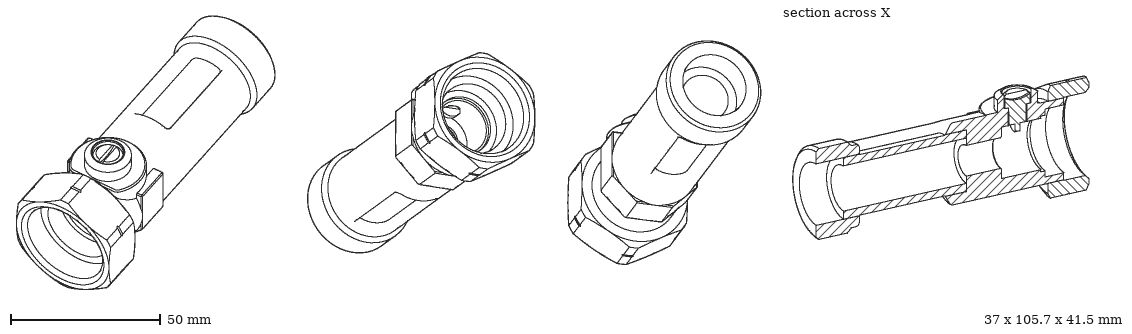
import cadquery as cq
import math

LENGTH = 105.7

NUT_FLATS = 37.0
NUT_CORNER_DIA = 41.0
NUT_LENGTH = 16.1
NUT_BEVEL = 1.1
NUT_MOUTH_CHAMFER = 1.5
NOTCH_DIA = 1.0
NOTCH_DEPTH = 0.2

BODY_DIA = 30.0
BODY_START = 9.7
COLLAR_DIA = 33.2
COLLAR_START = 93.5
COLLAR_CHAMFER = 1.1

INLET_DIA = 24.5
INLET_END = 17.0
SEAT_DIA = 20.1
SEAT_END = 18.6
VALVE_DIA = 18.5
VALVE_END = 33.8
PASSAGE_DIA = 11.0
PASSAGE_CHAMFER = 0.4
TUBE_START = 47.6

TUBE_DIA = 22.2
TUBE_BORE = 16.3
TUBE_END = 95.1

WINDOW_START = 55.8
WINDOW_END = 88.8
WINDOW_WIDTH = 11.2
WINDOW_SIDE_DRAFT = 25.0
WINDOW_START_DRAFT = 31.0
WINDOW_CORNER = 1.4
WINDOW_RIM_RADIUS = 1.6

DIAL_Y = 27.7
DIAL_DIA = 25.8
DIAL_TOP = 15.1
DIAL_CHAMFER = 0.5
DIAL_FLAT_Y = 18.7
DIAL_CORNER = 2.6
BOSS_DIA = 15.7
BOSS_TOP = 21.0
BOSS_BEVEL_WIDTH = 2.2
BOSS_BEVEL_HEIGHT = 1.5
BOSS_BORE = 10.4
BOSS_MOUTH_CHAMFER = 0.3
BOSS_BORE_FLOOR = 15.9
STEM_HOLE = 7.0

PAD_START = 25.6
PAD_END = 38.9
PAD_TOP = 10.0
PAD_CHAMFER = 0.4

SCREW_TOP = 20.5
SCREW_HEAD_DIA = 10.0
SCREW_CHAMFER = 1.1
SCREW_STEM_DIA = 6.9
SCREW_STEM_END = 9.3
SLOT_WIDTH = 1.6
SLOT_CUTTER_RADIUS = 10.0
SLOT_DEPTH = 2.3
TANG_THICKNESS = 2.1
TANG_SHOULDER = 8.1
TANG_TIP = 6.5


def cylinder_y(diameter, start, end):
    """Cylinder on the flow axis between two Y positions."""
    return cq.Workplane("XZ", origin=(0, start, 0)).circle(diameter / 2).extrude(start - end)


def cylinder_z(diameter, bottom, top):
    """Upright cylinder on the dial axis between two heights."""
    return cq.Workplane("XY", origin=(0, DIAL_Y, bottom)).circle(diameter / 2).extrude(top - bottom)


def make_nut():
    corner_radius = NUT_CORNER_DIA / 2
    face_radius = NUT_FLATS / 2
    hexagon = (
        cq.Workplane("XZ")
        .polygon(6, NUT_FLATS, circumscribed=True)
        .extrude(-NUT_LENGTH)
    )
    bevelled_round = (
        cq.Workplane("XY")
        .moveTo(0, 0)
        .lineTo(face_radius, 0)
        .lineTo(corner_radius, NUT_BEVEL)
        .lineTo(corner_radius, NUT_LENGTH - NUT_BEVEL)
        .lineTo(face_radius, NUT_LENGTH)
        .lineTo(0, NUT_LENGTH)
        .close()
        .revolve(360, (0, 0), (0, 1))
    )
    notch_center = corner_radius + NOTCH_DIA / 2 - NOTCH_DEPTH
    notch_ring = (
        cq.Workplane("XY")
        .center(notch_center, NUT_LENGTH / 2)
        .circle(NOTCH_DIA / 2)
        .revolve(360, (-notch_center, 0), (-notch_center, 1))
    )
    bore = cylinder_y(BODY_DIA, 0, NUT_LENGTH)
    nut = hexagon.intersect(bevelled_round).cut(notch_ring).cut(bore)
    mouth = cq.selectors.RadiusNthSelector(0)
    return nut.faces("<Y").edges(mouth).chamfer(NUT_MOUTH_CHAMFER)


def make_shell():
    """Turned outside of the housing, still without bores."""
    body_radius = BODY_DIA / 2
    collar_radius = COLLAR_DIA / 2
    return (
        cq.Workplane("XY")
        .moveTo(0, BODY_START)
        .lineTo(body_radius, BODY_START)
        .lineTo(body_radius, COLLAR_START - (collar_radius - body_radius))
        .lineTo(collar_radius, COLLAR_START)
        .lineTo(collar_radius, LENGTH - COLLAR_CHAMFER)
        .lineTo(collar_radius - COLLAR_CHAMFER, LENGTH)
        .lineTo(0, LENGTH)
        .close()
        .revolve(360, (0, 0), (0, 1))
    )


def make_window_cutter():
    """Upper window down to the tube: sloped sides, one sloped end and one upright end."""
    tube_radius = TUBE_DIA / 2
    floor = TUBE_BORE / 2
    top = COLLAR_DIA / 2
    half_width = WINDOW_WIDTH / 2
    side_bottom = math.sqrt(tube_radius**2 - half_width**2)
    side_slope = math.tan(math.radians(WINDOW_SIDE_DRAFT))
    start_slope = math.tan(math.radians(WINDOW_START_DRAFT))

    def side_x(height):
        return half_width + side_slope * (height - side_bottom)

    def start_y(height):
        return WINDOW_START - start_slope * (height - tube_radius)

    across = (
        cq.Workplane("XZ")
        .polyline([(-side_x(floor), floor), (side_x(floor), floor), (side_x(top), top), (-side_x(top), top)])
        .close()
        .extrude(-LENGTH)
    )
    along = (
        cq.Workplane("XY")
        .polyline([(floor, start_y(floor)), (floor, WINDOW_END), (top, WINDOW_END), (top, start_y(top))])
        .close()
        .revolve(360, (0, 0), (0, 1))
    )
    cutter = across.intersect(along).cut(cylinder_y(TUBE_DIA, 0, LENGTH))
    return cutter.edges("not (|Y or %CIRCLE)").fillet(WINDOW_CORNER)


def is_window_rim(edge):
    """True for the edges where a window breaks through the round outside of the body."""
    middle = edge.positionAt(0.5)
    tolerance = 0.01
    on_surface = abs(math.hypot(middle.x, middle.z) - BODY_DIA / 2) < tolerance
    return on_surface and abs(middle.x) < WINDOW_WIDTH


def cut_windows(shell):
    upper = make_window_cutter()
    windowed = shell.cut(upper).cut(upper.mirror("XY"))
    return windowed.edges().filter(is_window_rim).fillet(WINDOW_RIM_RADIUS)


def make_dial():
    disc = cylinder_z(DIAL_DIA, 0, DIAL_TOP)
    nut_side = (
        cq.Workplane("XY")
        .rect(DIAL_DIA, 2 * DIAL_FLAT_Y)
        .extrude(DIAL_TOP)
    )
    plate = disc.cut(nut_side).edges("|Z and <Y").fillet(DIAL_CORNER)
    return plate.faces(">Z").edges().chamfer(DIAL_CHAMFER)


def make_boss():
    boss = cylinder_z(BOSS_DIA, 0, BOSS_TOP)
    return boss.faces(">Z").edges().chamfer(BOSS_BEVEL_HEIGHT, BOSS_BEVEL_WIDTH)


def make_pads():
    """Wrench pads on both sides, with octagon faces below and a level top."""
    half_flats = BODY_DIA / 2
    half_side = half_flats * math.tan(math.pi / 8)
    return (
        cq.Workplane("XZ", origin=(0, PAD_START, 0))
        .polyline([
            (-half_flats, PAD_TOP),
            (-half_flats, -half_side),
            (-half_side, -half_flats),
            (half_side, -half_flats),
            (half_flats, -half_side),
            (half_flats, PAD_TOP),
        ])
        .close()
        .extrude(PAD_START - PAD_END)
        .edges("|X or |Z or (|Y and >Z)")
        .chamfer(PAD_CHAMFER)
    )


def make_bores():
    passage_radius = PASSAGE_DIA / 2
    chamfered_passage = (
        cq.Workplane("XY")
        .moveTo(0, VALVE_END)
        .lineTo(passage_radius + PASSAGE_CHAMFER, VALVE_END)
        .lineTo(passage_radius, VALVE_END + PASSAGE_CHAMFER)
        .lineTo(passage_radius, TUBE_START)
        .lineTo(0, TUBE_START)
        .close()
        .revolve(360, (0, 0), (0, 1))
    )
    return (
        cylinder_y(INLET_DIA, BODY_START, INLET_END)
        .union(cylinder_y(SEAT_DIA, INLET_END, SEAT_END))
        .union(cylinder_y(VALVE_DIA, SEAT_END, VALVE_END))
        .union(chamfered_passage)
        .union(cylinder_y(TUBE_DIA, TUBE_START, LENGTH))
    )


def make_screw_bore():
    """Stepped bore for the screw: stem hole, head bore and chamfered mouth."""
    stem_radius = STEM_HOLE / 2
    head_radius = BOSS_BORE / 2
    return (
        cq.Workplane("XZ", origin=(0, DIAL_Y, 0))
        .lineTo(stem_radius, 0)
        .lineTo(stem_radius, BOSS_BORE_FLOOR)
        .lineTo(head_radius, BOSS_BORE_FLOOR)
        .lineTo(head_radius, BOSS_TOP - BOSS_MOUTH_CHAMFER)
        .lineTo(head_radius + BOSS_MOUTH_CHAMFER, BOSS_TOP)
        .lineTo(0, BOSS_TOP)
        .close()
        .revolve(360, (0, 0), (0, 1))
    )


def make_housing():
    body = cut_windows(make_shell())
    body = body.union(make_pads()).union(make_dial()).union(make_boss())
    return body.cut(make_bores()).cut(make_screw_bore())


def make_sight_tube():
    return cylinder_y(TUBE_DIA, TUBE_START, TUBE_END).cut(cylinder_y(TUBE_BORE, TUBE_START, TUBE_END))


def make_screw():
    head = cylinder_z(SCREW_HEAD_DIA, BOSS_BORE_FLOOR, SCREW_TOP).faces(">Z").chamfer(SCREW_CHAMFER)
    slot_axis_height = SCREW_TOP - SLOT_DEPTH + SLOT_CUTTER_RADIUS
    slot = (
        cq.Workplane("YZ", origin=(-SLOT_WIDTH / 2, DIAL_Y, slot_axis_height))
        .circle(SLOT_CUTTER_RADIUS)
        .extrude(SLOT_WIDTH)
    )
    stem = cylinder_z(SCREW_STEM_DIA, SCREW_STEM_END, BOSS_BORE_FLOOR)
    stem_radius = SCREW_STEM_DIA / 2
    tang = (
        cq.Workplane("XZ", origin=(0, DIAL_Y, 0))
        .moveTo(-stem_radius, SCREW_STEM_END)
        .lineTo(-stem_radius, TANG_SHOULDER)
        .threePointArc((0, TANG_TIP), (stem_radius, TANG_SHOULDER))
        .lineTo(stem_radius, SCREW_STEM_END)
        .close()
        .extrude(TANG_THICKNESS / 2, both=True)
        .intersect(cylinder_z(SCREW_STEM_DIA, 0, SCREW_STEM_END))
    )
    return head.cut(slot).union(stem).union(tang)


nut = make_nut()
housing = make_housing()
sight_tube = make_sight_tube()
screw = make_screw()

result = cq.Compound.makeCompound([housing.val(), nut.val(), sight_tube.val(), screw.val()])